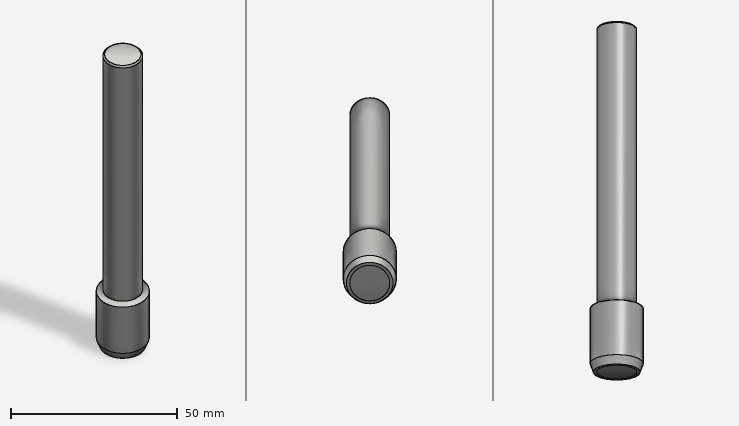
import cadquery as cq

rod_length = 110.0
rod_diameter = 12.0
rod_chamfer = 0.5

sleeve_length = 20.9
sleeve_diameter = 16.0
shoulder_height = 0.72
nose_height = 2.6
nose_inset = 1.0

rod_radius = rod_diameter / 2
sleeve_radius = sleeve_diameter / 2


def make_rod():
    """Plain round rod standing on the XY plane."""
    rod = cq.Workplane("XY").circle(rod_radius).extrude(rod_length)
    return rod.faces(">Z").chamfer(rod_chamfer)


def make_sleeve():
    """Sleeve profile from bore to outside, revolved about the Z axis."""
    profile = (
        cq.Workplane("XZ")
        .moveTo(rod_radius, 0)
        .lineTo(sleeve_radius - nose_inset, 0)
        .lineTo(sleeve_radius, nose_height)
        .lineTo(sleeve_radius, sleeve_length - shoulder_height)
        .lineTo(rod_radius, sleeve_length)
        .close()
    )
    return profile.revolve(360, (0, 0, 0), (0, 1, 0))


rod = make_rod()
sleeve = make_sleeve()

result = cq.Compound.makeCompound([rod.val(), sleeve.val()])